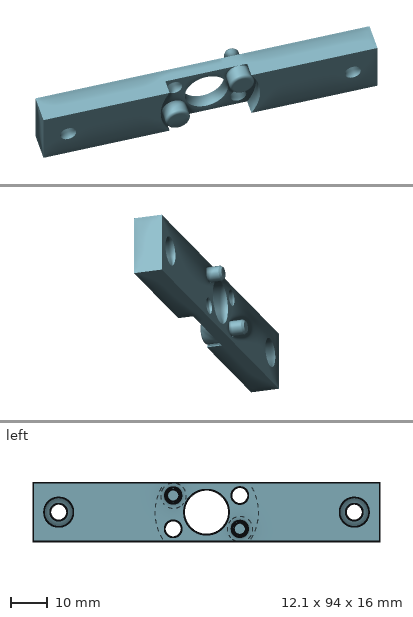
import cadquery as cq

overall_depth = 12.1
bar_length = 94.0
bar_height = 16.0
bar_thickness = 8.0

recess_diameter = 28.0
recess_floor = 3.8
recess_depth = bar_thickness - recess_floor

center_bore_diameter = 12.1
screw_hole_diameter = 4.5
screw_offset_y = 9.0
screw_offset_z = 4.5
mount_hole_diameter = 4.5
mount_counterbore_diameter = 8.0
mount_counterbore_depth = 4.4
mount_offset_y = 40.0

shank_diameter = 4.1
shank_protrusion = overall_depth - bar_thickness
tip_chamfer_length = 0.7
tip_chamfer_width = 0.5
head_diameter = 6.9
head_height = recess_depth
head_fillet = 0.8

screw_points = [(screw_offset_y, screw_offset_z), (-screw_offset_y, -screw_offset_z)]
open_hole_points = [(screw_offset_y, -screw_offset_z), (-screw_offset_y, screw_offset_z)]
mount_points = [(mount_offset_y, 0), (-mount_offset_y, 0)]


def cylinders(points, diameter, start_x, length):
    """Cylinders along +X at the given (Y, Z) points."""
    plane = cq.Workplane("YZ", origin=(start_x, 0, 0))
    return plane.pushPoints(points).circle(diameter / 2).extrude(length)


def make_bar():
    bar = cq.Workplane("XY").box(
        bar_thickness, bar_length, bar_height, centered=(False, True, True)
    )

    bar = bar.cut(cylinders([(0, 0)], recess_diameter, recess_floor, recess_depth))

    bar = bar.cut(cylinders([(0, 0)], center_bore_diameter, 0, bar_thickness))
    all_screw_holes = screw_points + open_hole_points
    bar = bar.cut(cylinders(all_screw_holes, screw_hole_diameter, 0, bar_thickness))

    bar = bar.cut(cylinders(mount_points, mount_hole_diameter, 0, bar_thickness))
    return bar.cut(cylinders(mount_points, mount_counterbore_diameter, 0, mount_counterbore_depth))


def make_screw(y, z):
    shank_length = shank_protrusion + recess_floor
    shank = (
        cylinders([(y, z)], shank_diameter, -shank_protrusion, shank_length)
        .faces("<X")
        .chamfer(tip_chamfer_length, tip_chamfer_width)
    )
    head = (
        cylinders([(y, z)], head_diameter, recess_floor, head_height)
        .faces(">X")
        .edges()
        .fillet(head_fillet)
    )
    return shank.union(head)


bar = make_bar()
screws = [make_screw(y, z).val() for y, z in screw_points]
result = cq.Compound.makeCompound([bar.val(), *screws])